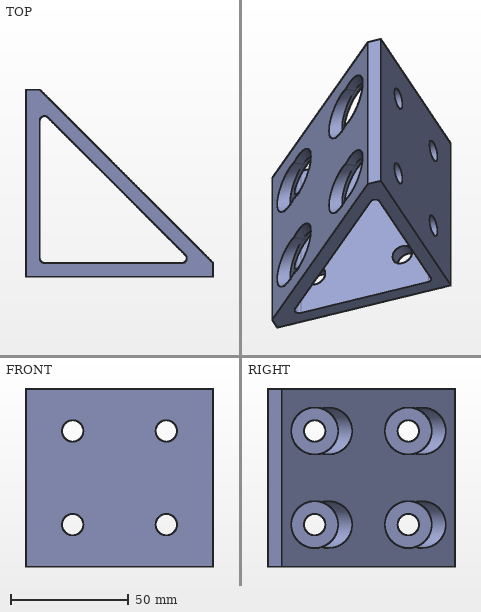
import cadquery as cq

leg = 80.0
height = 76.0
wall = 6.0
brace_wall = 6.0
corner_radius = 2.0
hole_diameter = 9.0
hole_spacing = 40.0
access_diameter = 20.0

along_leg = [leg / 2 - hole_spacing / 2, leg / 2 + hole_spacing / 2]
levels = [height / 2 - hole_spacing / 2, height / 2 + hole_spacing / 2]

outer_sum = leg + wall
inner_sum = outer_sum - brace_wall * 2**0.5


def bracket_body():
    """Triangular tube with blunt tips and a rounded triangular opening."""
    outline = [(0, 0), (leg, 0), (leg, wall), (wall, leg), (0, leg)]
    opening = [(wall, wall), (inner_sum - wall, wall), (wall, inner_sum - wall)]
    body = cq.Workplane("XY").polyline(outline).close().extrude(height)
    cavity = cq.Workplane("XY").polyline(opening).close().extrude(height)
    return body.cut(cavity.edges("|Z").fillet(corner_radius))


def bolt_hole(start, direction):
    """Bolt hole through a leg, widened to an access hole through the sloping wall."""
    bolt = cq.Solid.makeCylinder(hole_diameter / 2, leg, start, direction)
    access_start = start + direction * wall
    access = cq.Solid.makeCylinder(access_diameter / 2, leg, access_start, direction)
    return bolt.fuse(access)


result = bracket_body()
for z in levels:
    for offset in along_leg:
        result = result.cut(bolt_hole(cq.Vector(offset, 0, z), cq.Vector(0, 1, 0)))
        result = result.cut(bolt_hole(cq.Vector(0, offset, z), cq.Vector(1, 0, 0)))